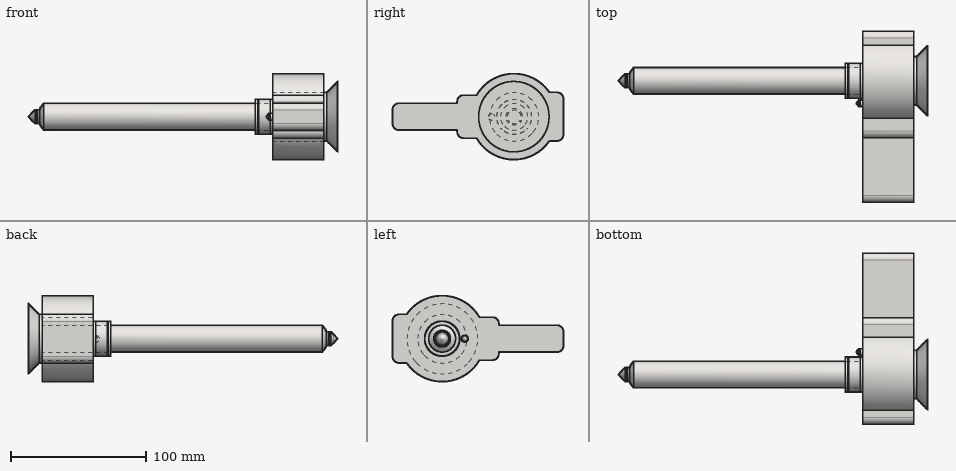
import cadquery as cq

total_length = 229

handle_thickness = 38.0
disc_diameter = 64.0
disc_radius = disc_diameter / 2
arm_reach = 90.0
arm_half_height = 10.0
arm_corner_radius = 5.0
shoulder_reach = 42.1
shoulder_half_height = 16.0
shoulder_corner_radius = 5.0
pad_reach = 36.9
pad_half_height = 18.0
pad_corner_radius = 5.0

knob_neck_length = 2.0
knob_neck_radius = 18.0
knob_flare_length = 8.0
knob_rim_radius = 26.0

rod_diameter = 20.0
rod_radius = rod_diameter / 2
rod_taper_length = 2.7
rod_front_radius = 6.2

tip_length = 8.5
tip_radius = 5.3
tip_cone_length = 3.2
tip_cone_radius = 3.7
tip_band_length = 1.1
tip_band_radius = 4.5
tip_groove_width = 1.1
tip_groove_depth = 0.2

collar_radius = 13.0
collar_length = 11.0
collar_groove_depth = 0.2
collar_front_groove_width = 0.7
collar_rear_groove_width = 0.2
collar_foot_length = 1.5
ring_length = 2.0

pin_offset = 16.7
pin_length = 4.8
pin_radius = 2.5
pin_cone_length = 1.1
pin_cone_radius = 1.5
pin_band_length = 0.5
pin_band_radius = 2.0
pin_groove_width = 0.7
pin_groove_depth = 0.2

knob_start = total_length - knob_neck_length - knob_flare_length
handle_start = knob_start - handle_thickness
collar_start = handle_start - collar_length
ring_start = collar_start - ring_length


def turned_body(start, profile):
    """Revolve (distance, radius) points about the X axis, beginning at X = start."""
    outline = [(start + distance, radius) for distance, radius in profile]
    outline.append((start + profile[-1][0], 0))
    if profile[0][1] > 0:
        outline.insert(0, (start, 0))
    return cq.Workplane("XY").polyline(outline).close().revolve(360, (0, 0, 0), (1, 0, 0))


def handle_block(y_from, y_to, half_height, corner_radius, rounded_side):
    """Box of full handle thickness whose X edges on one Y side are rounded."""
    return (
        cq.Workplane("XY")
        .box(handle_thickness, y_to - y_from, 2 * half_height, centered=False)
        .translate((handle_start, y_from, -half_height))
        .faces(rounded_side)
        .edges("|X")
        .fillet(corner_radius)
    )


def make_handle():
    disc = turned_body(handle_start, [(0, disc_radius), (handle_thickness, disc_radius)])
    arm = handle_block(-arm_reach, 0, arm_half_height, arm_corner_radius, "<Y")
    shoulder = handle_block(-shoulder_reach, 0, shoulder_half_height, shoulder_corner_radius, "<Y")
    pad = handle_block(0, pad_reach, pad_half_height, pad_corner_radius, ">Y")
    return disc.union(arm).union(shoulder).union(pad)


def make_knob():
    return turned_body(knob_start, [
        (0, knob_neck_radius),
        (knob_neck_length, knob_neck_radius),
        (knob_neck_length + knob_flare_length, knob_rim_radius),
    ])


def make_rod():
    return turned_body(tip_length, [
        (0, rod_front_radius),
        (rod_taper_length, rod_radius),
        (handle_start - tip_length, rod_radius),
    ])


def pointed_stud(start, length, radius, cone, band, groove):
    """Stud with a conical point, a tapered band, a chamfered shoulder and a shallow groove behind it."""
    cone_length, cone_radius = cone
    band_length, band_radius = band
    groove_width, groove_depth = groove
    shoulder_chamfer = radius - band_radius
    band_end = cone_length + band_length
    groove_start = band_end + 2 * shoulder_chamfer
    groove_end = groove_start + groove_width
    groove_radius = radius - groove_depth
    return turned_body(start, [
        (0, 0),
        (cone_length, cone_radius),
        (band_end, band_radius),
        (band_end + shoulder_chamfer, radius),
        (groove_start, radius),
        (groove_start, groove_radius),
        (groove_end, groove_radius),
        (groove_end, radius),
        (length, radius),
    ])


def make_tip():
    return pointed_stud(
        0,
        tip_length,
        tip_radius,
        cone=(tip_cone_length, tip_cone_radius),
        band=(tip_band_length, tip_band_radius),
        groove=(tip_groove_width, tip_groove_depth),
    )


def sleeve(start, profile):
    """Turned body with a bore that fits the rod."""
    length = profile[-1][0]
    bore = turned_body(start, [(0, rod_radius), (length, rod_radius)])
    return turned_body(start, profile).cut(bore)


def make_ring():
    return sleeve(ring_start, [(0, collar_radius), (ring_length, collar_radius)])


def make_collar():
    """Sleeve with one shallow groove against the ring and another in front of its foot."""
    groove_radius = collar_radius - collar_groove_depth
    foot_start = collar_length - collar_foot_length
    rear_groove_start = foot_start - collar_rear_groove_width
    return sleeve(collar_start, [
        (0, groove_radius),
        (collar_front_groove_width, groove_radius),
        (collar_front_groove_width, collar_radius),
        (rear_groove_start, collar_radius),
        (rear_groove_start, groove_radius),
        (foot_start, groove_radius),
        (foot_start, collar_radius),
        (collar_length, collar_radius),
    ])


def make_pin():
    pin = pointed_stud(
        handle_start - pin_length,
        pin_length,
        pin_radius,
        cone=(pin_cone_length, pin_cone_radius),
        band=(pin_band_length, pin_band_radius),
        groove=(pin_groove_width, pin_groove_depth),
    )
    return pin.translate((0, -pin_offset, 0))


handle = make_handle()
knob = make_knob()
rod = make_rod()
tip = make_tip()
ring = make_ring()
collar = make_collar()
pin = make_pin()

result = cq.Compound.makeCompound([
    handle.solids().val(),
    knob.val(),
    rod.val(),
    tip.val(),
    ring.solids().val(),
    collar.solids().val(),
    pin.val(),
])